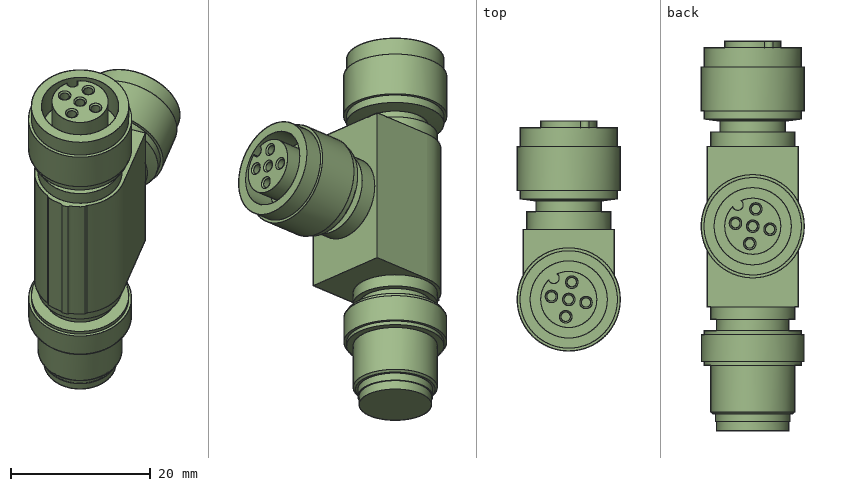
import cadquery as cq
import math

TOTAL_HEIGHT = 55.8
BRANCH_REACH = 25.55
BRANCH_HEIGHT = 29.3

BODY_BOTTOM = 17.75
BODY_TOP = 40.75
BODY_RADIUS = 6.55
BODY_BACK = 10.05
PAD_RADIUS = 6.7
PAD_HALF_BASE = 2.95
PAD_HALF_TOP = 2.75
RIB_RADIUS = 6.9
RIB_HALF_BASE = 0.95
RIB_HALF_TOP = 0.45
RIB_FLANK_RADIUS = 0.6

COLLAR_RADIUS = 6.0

INSERT_PROJECTION = 0.95
GRIP_START = 3.7
GRIP_END = 10.0
SLEEVE_END = 11.15
NUT_END = 11.45
NECK_END = 13.0
SOCKET_GRIP_DIAMETER = 14.8
SOCKET_GRIP_RADIUS = SOCKET_GRIP_DIAMETER / 2
SLEEVE_RADIUS = 7.0
NUT_BACK_RADIUS = 4.9
NECK_RADIUS = 4.7
CAVITY_RADIUS = 5.5
CAVITY_DEPTH = 5.0
INSERT_RADIUS = 4.0

CONTACT_RADIUS = 0.65
CONTACT_MOUTH_RADIUS = 0.9
CONTACT_DEPTH = 5.0
CONTACT_CIRCLE_RADIUS = 2.5
CONTACT_COUNT = 4
FIRST_CONTACT_ANGLE = 80.0
KEYWAY_RADIUS = 0.8
KEYWAY_OFFSET = 3.75
KEYWAY_ANGLE = FIRST_CONTACT_ANGLE + 45.0

PLUG_TIP_END = 1.35
PLUG_RING_END = 2.45
BARREL_CHAMFER_END = 2.75
BARREL_END = 9.4
LOWER_LIP_END = 9.95
PLUG_GRIP_END = 13.8
UPPER_LIP_END = 14.35
PLUG_NECK_END = 15.95
PLUG_TIP_RADIUS = 5.2
PLUG_RING_RADIUS = 5.35
BARREL_RADIUS = 6.0
BARREL_CHAMFER_RADIUS = 5.7
LIP_RADIUS = 7.0
PLUG_GRIP_RADIUS = 7.35
PLUG_NECK_RADIUS = 5.2


def turned(sections):
    """Solid of revolution about Z from (start, end, start radius, end radius) sections."""
    points = [(0, sections[0][0])]
    for start, end, start_radius, end_radius in sections:
        if points[-1] != (start_radius, start):
            points.append((start_radius, start))
        points.append((end_radius, end))
    points.append((0, sections[-1][1]))
    return cq.Workplane("XZ").polyline(points).close().revolve(360, (0, 0, 0), (0, 1, 0))


def polar(radius, angle):
    """Point at a radius and an angle in degrees."""
    return radius * math.cos(math.radians(angle)), radius * math.sin(math.radians(angle))


def contact_hole():
    """Blind hole with a countersunk mouth, opening upward at the origin."""
    countersink = CONTACT_MOUTH_RADIUS - CONTACT_RADIUS
    return turned([
        (-CONTACT_DEPTH, -countersink, CONTACT_RADIUS, CONTACT_RADIUS),
        (-countersink, 0, CONTACT_RADIUS, CONTACT_MOUTH_RADIUS),
    ])


def socket(length):
    """Female connector along Z with its tip at the origin, reaching down by length."""
    shell = turned([
        (-length, -NECK_END, COLLAR_RADIUS, COLLAR_RADIUS),
        (-NECK_END, -NUT_END, NECK_RADIUS, NECK_RADIUS),
        (-NUT_END, -SLEEVE_END, NUT_BACK_RADIUS, SLEEVE_RADIUS),
        (-SLEEVE_END, -GRIP_END, SLEEVE_RADIUS, SLEEVE_RADIUS),
        (-GRIP_END, -GRIP_START, SOCKET_GRIP_RADIUS, SOCKET_GRIP_RADIUS),
        (-GRIP_START, -INSERT_PROJECTION, SLEEVE_RADIUS, SLEEVE_RADIUS),
    ])
    insert_height = INSERT_PROJECTION + CAVITY_DEPTH
    floor = cq.Workplane("XY").workplane(offset=-insert_height)
    cavity = floor.circle(CAVITY_RADIUS).extrude(CAVITY_DEPTH)
    insert = floor.circle(INSERT_RADIUS).extrude(insert_height)
    keyway = floor.center(*polar(KEYWAY_OFFSET, KEYWAY_ANGLE)).circle(KEYWAY_RADIUS).extrude(insert_height)
    connector = shell.cut(cavity).union(insert).cut(keyway)

    contacts = [(0, 0)]
    for index in range(CONTACT_COUNT):
        contacts.append(polar(CONTACT_CIRCLE_RADIUS, FIRST_CONTACT_ANGLE + index * 360 / CONTACT_COUNT))
    for x, y in contacts:
        connector = connector.cut(contact_hole().translate((x, y, 0)))
    return connector


def plug():
    """Male connector rising from its tip at the origin to the body."""
    return turned([
        (0, PLUG_TIP_END, PLUG_TIP_RADIUS, PLUG_TIP_RADIUS),
        (PLUG_TIP_END, PLUG_RING_END, PLUG_RING_RADIUS, PLUG_RING_RADIUS),
        (PLUG_RING_END, BARREL_CHAMFER_END, BARREL_CHAMFER_RADIUS, BARREL_RADIUS),
        (BARREL_CHAMFER_END, BARREL_END, BARREL_RADIUS, BARREL_RADIUS),
        (BARREL_END, LOWER_LIP_END, LIP_RADIUS, LIP_RADIUS),
        (LOWER_LIP_END, PLUG_GRIP_END, PLUG_GRIP_RADIUS, PLUG_GRIP_RADIUS),
        (PLUG_GRIP_END, UPPER_LIP_END, LIP_RADIUS, LIP_RADIUS),
        (UPPER_LIP_END, PLUG_NECK_END, PLUG_NECK_RADIUS, PLUG_NECK_RADIUS),
        (PLUG_NECK_END, BODY_BOTTOM, COLLAR_RADIUS, COLLAR_RADIUS),
    ])


def on_front(radius, x):
    """Point at x on the front of a circle about the main axis."""
    return x, -math.sqrt(radius ** 2 - x ** 2)


def body():
    """Body between plug and sockets, with the bevelled pad and its rib on its front."""
    outline = (
        cq.Workplane("XY").workplane(offset=BODY_BOTTOM)
        .moveTo(-BODY_RADIUS, BODY_BACK)
        .lineTo(-BODY_RADIUS, 0)
        .radiusArc(on_front(BODY_RADIUS, -PAD_HALF_BASE), -BODY_RADIUS)
        .lineTo(*on_front(PAD_RADIUS, -PAD_HALF_TOP))
        .radiusArc(on_front(PAD_RADIUS, -RIB_HALF_BASE), -PAD_RADIUS)
        .radiusArc(on_front(RIB_RADIUS, -RIB_HALF_TOP), RIB_FLANK_RADIUS)
        .radiusArc(on_front(RIB_RADIUS, RIB_HALF_TOP), -RIB_RADIUS)
        .radiusArc(on_front(PAD_RADIUS, RIB_HALF_BASE), RIB_FLANK_RADIUS)
        .radiusArc(on_front(PAD_RADIUS, PAD_HALF_TOP), -PAD_RADIUS)
        .lineTo(*on_front(BODY_RADIUS, PAD_HALF_BASE))
        .radiusArc((BODY_RADIUS, 0), -BODY_RADIUS)
        .lineTo(BODY_RADIUS, BODY_BACK)
        .close()
    )
    return outline.extrude(BODY_TOP - BODY_BOTTOM)


top_socket = socket(TOTAL_HEIGHT - BODY_TOP).translate((0, 0, TOTAL_HEIGHT))

branch_socket = (
    socket(BRANCH_REACH - BODY_BACK)
    .rotate((0, 0, 0), (0, 0, 1), 180)
    .rotate((0, 0, 0), (1, 0, 0), -90)
    .translate((0, BRANCH_REACH, BRANCH_HEIGHT))
)

result = body().union(plug()).union(top_socket).union(branch_socket)